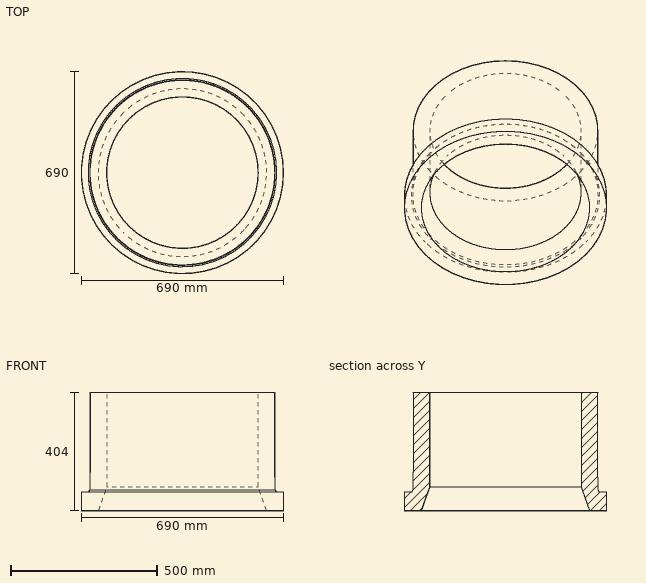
import cadquery as cq

height = 404.0
flange_radius = 345.0
flange_height = 65.0

root_radius = 321.5
root_height = 6.0
neck_base_radius = 317.0
neck_top_z = 150.0
pipe_radius = 315.0

bore_radius = 258.0
flare_height = 81.5
flare_radius = 287.0

half_section = (
    cq.Workplane("XZ")
    .moveTo(flare_radius, 0)
    .lineTo(flange_radius, 0)
    .lineTo(flange_radius, flange_height)
    .lineTo(root_radius, flange_height)
    .lineTo(neck_base_radius, flange_height + root_height)
    .lineTo(pipe_radius, neck_top_z)
    .lineTo(pipe_radius, height)
    .lineTo(bore_radius, height)
    .lineTo(bore_radius, flare_height)
    .close()
)

result = half_section.revolve(360, (0, 0, 0), (0, 1, 0))